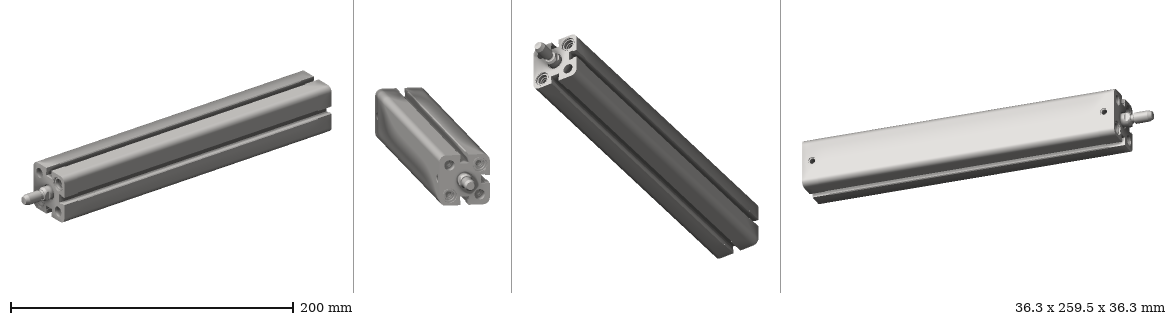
import cadquery as cq

total_length = 259.5
width = 36.3
corner_radius = 4.7
rod_reach = 22.3
cap_length = 12.0
body_length = total_length - rod_reach
tube_length = body_length - 2 * cap_length

slot_opening = 5.7
slot_inner_width = 7.0
slot_lip_depth = 3.0
slot_depth = 6.2
slot_lip_chamfer = 0.65
slot_angles = (0, 90, 180)

corner_offset = 11.0
mount_mouth_diameter = 7.5
mount_step_diameter = 5.7
thread_diameter = 4.2
mount_mouth_depth = 7.8
mount_step_depth = 1.0
recess_mouth_diameter = 11.2
recess_mouth_depth = 0.3
recess_diameter = 10.5
recess_depth = 1.5
screw_head_diameter = 9.0
screw_head_drop = 0.8
screw_socket_depth = 2.5

port_inset = 7.8
port_diameter = 4.2
port_mouth_diameter = 5.7
port_mouth_depth = 0.8
port_depth = 6.5

rod_diameter = 10.0
rod_clearance_diameter = 12.0
rod_clearance_depth = 1.3
rod_end = 6.5
rod_chamfer = 1.8
rod_chamfer_drop = 1.0
flat_start = 2.3
flat_ramp_length = 0.8
across_flats = 8.0
neck_diameter = 5.7
neck_lead = 0.5
neck_end = 8.8
stud_diameter = 8.0
stud_lead = 0.5
stud_tip_chamfer = 2.9
stud_tip_diameter = 5.7


def profile_block(start, length):
    """Square bar with rounded long edges, reaching from start toward +Y."""
    return (
        cq.Workplane("XZ", origin=(0, start, 0))
        .rect(width, width)
        .extrude(-length)
        .edges("|Y")
        .fillet(corner_radius)
    )


def slot_cutter(start, length, lip_chamfer=0):
    """T-slots of the three slotted sides, as one cutting shape."""
    top = width / 2
    half_mouth = slot_opening / 2
    half_inner = slot_inner_width / 2
    half_outline = [
        (half_mouth + lip_chamfer, top),
        (half_mouth, top - lip_chamfer),
        (half_mouth, top - slot_lip_depth),
        (half_inner, top - slot_lip_depth),
        (half_inner, top - slot_depth),
    ]
    if lip_chamfer == 0:
        half_outline = half_outline[1:]
    mirrored = [(-x, z) for x, z in reversed(half_outline)]
    slot = (
        cq.Workplane("XZ", origin=(0, start, 0))
        .polyline(half_outline + mirrored)
        .close()
        .extrude(-length)
    )
    cutter = cq.Workplane()
    for angle in slot_angles:
        cutter = cutter.add(slot.rotate((0, 0, 0), (0, 1, 0), angle))
    return cutter.combine()


def round_along_y(diameter, start, length, x=0, z=0):
    """Cylinder from start toward +Y, centred on x and z."""
    return cq.Workplane("XZ", origin=(x, start, z)).circle(diameter / 2).extrude(-length)


def make_tube():
    """Profile tube between the two caps."""
    slots = slot_cutter(cap_length, tube_length, slot_lip_chamfer)
    return profile_block(cap_length, tube_length).cut(slots)


def cut_port(cap, y):
    """Air port with a counterbored mouth, in the -X side."""
    side_face = cq.Workplane("YZ", origin=(-width / 2, y, 0))
    port = side_face.circle(port_diameter / 2).extrude(port_depth)
    mouth = side_face.circle(port_mouth_diameter / 2).extrude(port_mouth_depth)
    return cap.cut(port).cut(mouth)


def cut_mount_hole(cap, x, z, face_y, mouth_depth):
    """Hole in three diameters, sunk from face_y and breaking through the back of the cap."""
    step_depth = mouth_depth + mount_step_depth
    mouth = round_along_y(mount_mouth_diameter, face_y, mouth_depth, x, z)
    step = round_along_y(mount_step_diameter, face_y, step_depth, x, z)
    thread = round_along_y(thread_diameter, face_y, cap_length - face_y, x, z)
    return cap.cut(mouth).cut(step).cut(thread)


def cut_screw_recess(cap, x, z):
    """Recess with a stepped mouth, around a round screw head with a socket."""
    mouth = round_along_y(recess_mouth_diameter, 0, recess_mouth_depth, x, z)
    recess = round_along_y(recess_diameter, 0, recess_depth, x, z)
    head = round_along_y(screw_head_diameter, screw_head_drop, recess_depth - screw_head_drop, x, z)
    cap = cap.cut(mouth.union(recess).cut(head))
    return cut_mount_hole(cap, x, z, screw_head_drop, screw_socket_depth)


def make_front_cap():
    """Cap that guides the rod and carries the mounting holes."""
    cap = profile_block(0, cap_length).cut(slot_cutter(0, cap_length))
    cap = cut_port(cap, port_inset)
    cap = cap.cut(round_along_y(rod_diameter, 0, cap_length))
    cap = cap.cut(round_along_y(rod_clearance_diameter, 0, rod_clearance_depth))
    for x in (-corner_offset, corner_offset):
        cap = cut_mount_hole(cap, x, -x, 0, mount_mouth_depth)
        cap = cut_screw_recess(cap, x, x)
    return cap


def make_rear_cap():
    """Plain closing cap with its own port."""
    start = body_length - cap_length
    cap = profile_block(start, cap_length).cut(slot_cutter(start, cap_length))
    return cut_port(cap, body_length - port_inset)


def make_rod():
    """Turned piston rod with a stud end and two wrench flats."""
    rod_radius = rod_diameter / 2
    stud_radius = stud_diameter / 2
    outline = [
        (0, cap_length),
        (rod_radius, cap_length),
        (rod_radius, -(rod_end - rod_chamfer)),
        (rod_radius - rod_chamfer_drop, -rod_end),
        (neck_diameter / 2 + neck_lead, -rod_end),
        (neck_diameter / 2, -rod_end - neck_lead),
        (neck_diameter / 2, -neck_end),
        (stud_radius - stud_lead, -neck_end),
        (stud_radius, -neck_end - stud_lead),
        (stud_radius, -(rod_reach - stud_tip_chamfer)),
        (stud_tip_diameter / 2, -rod_reach),
        (0, -rod_reach),
    ]
    rod = cq.Workplane("XY").polyline(outline).close().revolve(360, (0, 0, 0), (0, 1, 0))
    flat_x = across_flats / 2
    flat_outline = [
        (flat_x, -rod_end),
        (flat_x, -flat_start - flat_ramp_length),
        (rod_radius, -flat_start),
        (rod_diameter, -flat_start),
        (rod_diameter, -rod_end),
    ]
    flat = cq.Workplane("XY").polyline(flat_outline).close().extrude(rod_radius, both=True)
    return rod.cut(flat).cut(flat.mirror("YZ"))


tube = make_tube()
front_cap = make_front_cap()
rear_cap = make_rear_cap()
rod = make_rod()

result = cq.Compound.makeCompound([tube.val(), front_cap.val(), rear_cap.val(), rod.val()])